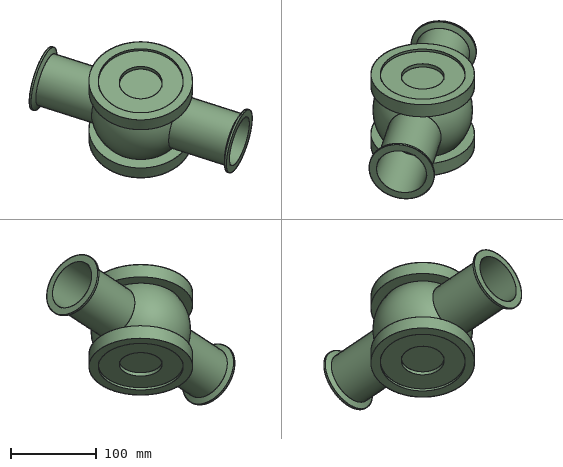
import cadquery as cq
import math

overall_length = 250.0
overall_height = 103.0

ball_diameter = 116.5

flange_diameter = 121.0
flange_thickness = 17.5
recess_diameter = 99.0
recess_depth = 3.2
pocket_diameter = 50.0
pocket_depth = 4.8

tube_diameter = 63.5
bore_diameter = 59.5
rim_diameter = 77.5
rim_edge_thickness = 2.5
rim_total_thickness = 5.5
tube_inner_end = 37.5

half_length = overall_length / 2
half_height = overall_height / 2


def make_body():
    """Solid ball cut off flat at the flanges, revolved about Z from a profile in the YZ plane."""
    ball_radius = ball_diameter / 2
    cut_height = half_height - flange_thickness
    cut_radius = math.sqrt(ball_radius**2 - cut_height**2)
    return (
        cq.Workplane("YZ")
        .moveTo(0, -cut_height)
        .lineTo(cut_radius, -cut_height)
        .threePointArc((ball_radius, 0), (cut_radius, cut_height))
        .lineTo(0, cut_height)
        .close()
        .revolve(360, (0, 0, 0), (0, 1, 0))
    )


def make_top_flange():
    """Flange disc with a wide shallow recess and a smaller pocket in its floor."""
    flange = (
        cq.Workplane("XY")
        .workplane(offset=half_height - flange_thickness)
        .circle(flange_diameter / 2)
        .extrude(flange_thickness)
    )
    outer_face = cq.Workplane("XY").workplane(offset=half_height)
    recess = outer_face.circle(recess_diameter / 2).extrude(-recess_depth)
    pocket = outer_face.circle(pocket_diameter / 2).extrude(-(recess_depth + pocket_depth))
    return flange.cut(recess).cut(pocket)


def make_tube():
    """Hollow tube on the -X side, revolved about X from its wall and rim profile."""
    bore_radius = bore_diameter / 2
    tube_radius = tube_diameter / 2
    rim_radius = rim_diameter / 2
    return (
        cq.Workplane("XY")
        .moveTo(-tube_inner_end, bore_radius)
        .lineTo(-half_length, bore_radius)
        .lineTo(-half_length, rim_radius)
        .lineTo(-half_length + rim_edge_thickness, rim_radius)
        .lineTo(-half_length + rim_total_thickness, tube_radius)
        .lineTo(-tube_inner_end, tube_radius)
        .close()
        .revolve(360, (0, 0, 0), (1, 0, 0))
    )


top_flange = make_top_flange()
tube = make_tube()
result = (
    make_body()
    .union(top_flange)
    .union(top_flange.mirror("XY"))
    .union(tube)
    .union(tube.mirror("YZ"))
)